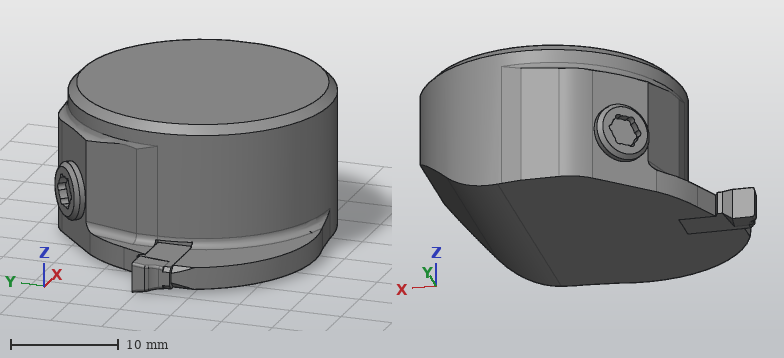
import cadquery as cq
import math

body_radius = 12.5
body_height = 13.9
top_chamfer = 0.8
side_flat_x = 11.6

relief_start_x = 2.3
relief_radius = 7.75

insert_y_min = -3.27
insert_y_max = 0.15
insert_back_x = -12.0
insert_front_x = -18.42
insert_end_chamfer = 0.4
slot_ceiling = 2.6

flange_height = 2.15
flange_center = (-5.96, -0.9)
flange_radius = 12.3
flange_tail_x = -3.0
flange_edge_chamfer = 0.6
root_fillet = 0.8
flank_low = (-15.5, insert_y_max)
flank_high = (-14.37, 2.65)
flank_bulge = (-13.15, 5.0)

boss_height = 11.8
boss_fillet = 0.9
boss_top_y = 12.65
screw_flat_low = (-10.91, 7.6)
screw_flat_high = (-6.56, 11.53)
screw_flat_foot_y = 7.0
boss_side_low = (-body_radius, 0.0)
boss_side_high = (-body_radius, 2.07)

screw_z = 5.05
head_diameter = 5.5
head_height = 0.95
head_chamfer = 0.4
socket_diameter = 3.3
lobe_radius = 0.35
socket_core_radius = 1.45
lobe_count = 6
socket_depth = 0.8

crest_y = 0.7
crest_front_x = -16.3
crest_back_x = -15.8
crest_foot_x = -15.55
tooth_tip_x = -19.2
tooth_taper_x = -17.1
tooth_taper_length = 0.75
tooth_tilt = 6.0
tooth_half_width = 1.475
tooth_edge_radius = 0.25
tooth_relief_end_y = -2.6
edge_land_end = (-19.1, -1.05)
throat_start = (-18.88, -1.38)
throat_middle = (-18.52, -1.82)
throat_end = (insert_front_x, -2.2)

oversize = 40.0
selection_margin = 0.1

mid_z = flange_height / 2

flat_dx = screw_flat_high[0] - screw_flat_low[0]
flat_dy = screw_flat_high[1] - screw_flat_low[1]
flat_angle = math.atan2(flat_dy, flat_dx)
flat_normal = (-math.sin(flat_angle), math.cos(flat_angle))
flat_middle = (
    (screw_flat_low[0] + screw_flat_high[0]) / 2,
    (screw_flat_low[1] + screw_flat_high[1]) / 2,
)
screw_flat_foot = (
    screw_flat_low[0] - (screw_flat_low[1] - screw_flat_foot_y) / math.tan(flat_angle),
    screw_flat_foot_y,
)


def point_on_circle(center, radius, angle):
    return (center[0] + radius * math.cos(angle), center[1] + radius * math.sin(angle))


boss_round_radius = (boss_top_y - screw_flat_high[1]) / (1 - math.cos(flat_angle))
boss_round_center = (
    screw_flat_high[0] + boss_round_radius * math.sin(flat_angle),
    screw_flat_high[1] - boss_round_radius * math.cos(flat_angle),
)
boss_round_middle = point_on_circle(
    boss_round_center, boss_round_radius, (math.pi + flat_angle) / 2
)
boss_round_end = (boss_round_center[0], boss_top_y)

boss_top_end = (0.0, boss_top_y)
boss_tangent_angle = math.pi / 2 - math.acos(body_radius / boss_top_end[1])
boss_tangent = point_on_circle((0, 0), body_radius, boss_tangent_angle)


def add_boss_top(wire):
    """Continue an outline from the screw flat over the boss to the body cylinder."""
    return (
        wire.lineTo(*screw_flat_high)
        .threePointArc(boss_round_middle, boss_round_end)
        .lineTo(*boss_top_end)
        .lineTo(*boss_tangent)
    )


def start_boss():
    """Begin an outline at the -X side of the body cylinder and follow the boss walls."""
    wire = cq.Workplane("XY").moveTo(*boss_side_low).lineTo(*boss_side_high).lineTo(*screw_flat_low)
    return add_boss_top(wire)


def make_turned_envelope():
    """Turned limit of the holder: chamfered body, concave fillet above the boss, wide skirt below."""
    foot_z = boss_height - boss_fillet
    fillet_center = (body_radius + boss_fillet, boss_height)
    return (
        cq.Workplane("XZ")
        .lineTo(oversize, 0)
        .lineTo(oversize, foot_z)
        .lineTo(fillet_center[0], foot_z)
        .threePointArc(
            point_on_circle(fillet_center, boss_fillet, math.radians(225)),
            (body_radius, boss_height),
        )
        .lineTo(body_radius, body_height - top_chamfer)
        .lineTo(body_radius - top_chamfer, body_height)
        .lineTo(0, body_height)
        .close()
        .revolve(360, (0, 0, 0), (0, 1, 0))
    )


def make_footprint_column():
    """Flange, boss and body seen as one full-height column, with a filleted root on the flange."""
    plate = cq.Workplane("XY").rect(2 * oversize, 2 * oversize).extrude(flange_height)
    core = (
        start_boss()
        .threePointArc((body_radius, 0), (0, -body_radius))
        .threePointArc(point_on_circle((0, 0), body_radius, math.radians(225)), boss_side_low)
        .close()
        .extrude(body_height)
    )
    inside = cq.selectors.BoxSelector(
        (-oversize / 2, -oversize / 2, flange_height - selection_margin),
        (oversize / 2, oversize / 2, flange_height + selection_margin),
    )
    rooted = plate.union(core).edges(inside).fillet(root_fillet)

    tail_angle = -math.acos((flange_tail_x - flange_center[0]) / flange_radius)
    front_angle = -math.pi - math.asin((insert_y_min - flange_center[1]) / flange_radius)
    tail = point_on_circle(flange_center, flange_radius, tail_angle)
    middle = point_on_circle(flange_center, flange_radius, (tail_angle + front_angle) / 2)
    front = point_on_circle(flange_center, flange_radius, front_angle)
    wire = (
        cq.Workplane("XY")
        .moveTo(0, -body_radius)
        .lineTo(*tail)
        .threePointArc(middle, front)
        .lineTo(*flank_low)
        .lineTo(*flank_high)
        .threePointArc(flank_bulge, screw_flat_foot)
    )
    outline = add_boss_top(wire).threePointArc((body_radius, 0), (0, -body_radius)).close()
    column = outline.extrude(body_height).intersect(rooted)

    for edge_z, inward in ((flange_height, -1), (0, 1)):
        bevel = (
            cq.Workplane("XZ")
            .moveTo(front[0] + flange_edge_chamfer, edge_z)
            .lineTo(front[0] - flange_edge_chamfer, edge_z + 2 * inward * flange_edge_chamfer)
            .lineTo(front[0] - flange_edge_chamfer, edge_z)
            .close()
            .extrude(oversize, both=True)
        )
        column = column.cut(bevel)
    return column


def make_side_cut():
    """Material removed for the +X flat and the rounded relief below it."""
    center = (relief_start_x, relief_radius)
    arc_middle = point_on_circle(center, relief_radius, math.radians(-67.5))
    arc_end = point_on_circle(center, relief_radius, math.radians(-45))
    slope_top_z = arc_end[1] + side_flat_x - arc_end[0]
    return (
        cq.Workplane("XZ")
        .moveTo(relief_start_x, 0)
        .threePointArc(arc_middle, arc_end)
        .lineTo(side_flat_x, slope_top_z)
        .lineTo(side_flat_x, oversize)
        .lineTo(oversize, oversize)
        .lineTo(oversize, 0)
        .close()
        .extrude(oversize, both=True)
    )


def make_screw_head():
    seat = cq.Plane(
        origin=(flat_middle[0], flat_middle[1], screw_z),
        xDir=(math.cos(flat_angle), math.sin(flat_angle), 0),
        normal=(flat_normal[0], flat_normal[1], 0),
    )
    head = (
        cq.Workplane(seat)
        .circle(head_diameter / 2)
        .extrude(head_height)
        .faces(cq.selectors.DirectionMinMaxSelector(seat.zDir))
        .chamfer(head_chamfer)
    )
    lobe_circle = socket_diameter / 2 - lobe_radius
    socket_floor = cq.Workplane(seat).workplane(offset=head_height - socket_depth)
    socket = socket_floor.circle(socket_core_radius).extrude(socket_depth)
    lobes = (
        socket_floor.polarArray(lobe_circle, 0, 360, lobe_count)
        .circle(lobe_radius)
        .extrude(socket_depth)
    )
    return head.cut(socket.union(lobes))


def make_slot():
    return cq.Workplane("XY").box(
        oversize, insert_y_max - insert_y_min, slot_ceiling, centered=False
    ).translate((insert_back_x - oversize, insert_y_min, 0))


def make_holder():
    blank = make_footprint_column().intersect(make_turned_envelope())
    holder = blank.cut(make_side_cut()).cut(make_slot())
    return holder.union(make_screw_head())


def make_insert():
    """Bar seated in the slot, with a wider cutting tooth at its front."""
    bar = (
        cq.Workplane("XY")
        .moveTo(insert_front_x, insert_y_min)
        .lineTo(insert_back_x, insert_y_min)
        .lineTo(insert_back_x, insert_y_max)
        .lineTo(crest_foot_x, insert_y_max)
        .lineTo(crest_back_x, crest_y)
        .lineTo(crest_front_x, crest_y)
        .lineTo(tooth_taper_x, insert_y_max)
        .lineTo(insert_front_x, insert_y_max)
        .close()
        .extrude(flange_height)
        .faces("<X")
        .edges("|Y")
        .chamfer(insert_end_chamfer)
    )
    return bar.union(make_tooth())


def make_tooth():
    """Cutting tooth that narrows toward -Y and tapers into the bar toward +X."""
    taper_end_x = tooth_taper_x + tooth_taper_length
    plan = (
        cq.Workplane("XY")
        .moveTo(tooth_tip_x, insert_y_max)
        .lineTo(*edge_land_end)
        .lineTo(*throat_start)
        .threePointArc(throat_middle, throat_end)
        .lineTo(insert_front_x, tooth_relief_end_y)
        .lineTo(crest_front_x, tooth_relief_end_y)
        .lineTo(crest_front_x, crest_y)
        .lineTo(tooth_taper_x, insert_y_max)
        .close()
        .extrude(oversize, both=True)
    )
    taper_profile = (
        cq.Workplane("XZ")
        .moveTo(-oversize, mid_z - tooth_half_width)
        .lineTo(tooth_taper_x, mid_z - tooth_half_width)
        .lineTo(taper_end_x, 0)
        .lineTo(taper_end_x, flange_height)
        .lineTo(tooth_taper_x, mid_z + tooth_half_width)
        .lineTo(-oversize, mid_z + tooth_half_width)
        .close()
        .extrude(oversize, both=True)
        .rotate((tooth_taper_x, 0, 0), (tooth_taper_x, 0, 1), -tooth_tilt)
    )
    relief_profile = (
        cq.Workplane("YZ")
        .moveTo(crest_y, mid_z - tooth_half_width)
        .lineTo(insert_y_max, mid_z - tooth_half_width)
        .lineTo(tooth_relief_end_y, 0)
        .lineTo(tooth_relief_end_y, flange_height)
        .lineTo(insert_y_max, mid_z + tooth_half_width)
        .lineTo(crest_y, mid_z + tooth_half_width)
        .close()
        .extrude(oversize, both=True)
    )
    tooth = plan.intersect(taper_profile).intersect(relief_profile)
    front_edges = cq.selectors.BoxSelector(
        (tooth_tip_x - selection_margin, tooth_relief_end_y + selection_margin, -oversize),
        (insert_front_x + selection_margin, insert_y_max - selection_margin, oversize),
    )
    return tooth.edges(front_edges).edges("not |Z").fillet(tooth_edge_radius)


holder = make_holder()
insert = make_insert()
result = cq.Compound.makeCompound([holder.val(), insert.val()])